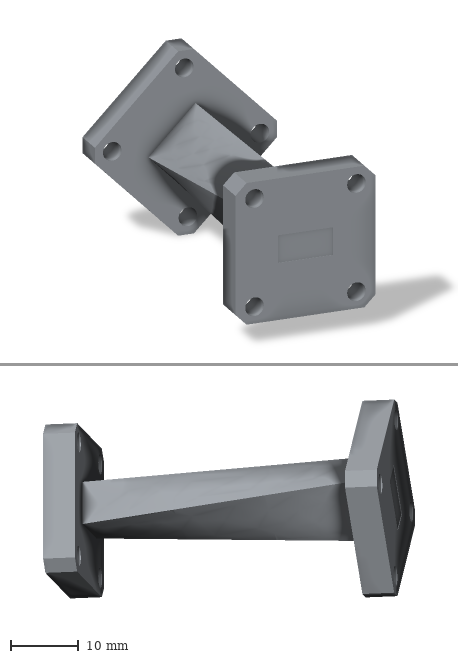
import cadquery as cq

length = 50.8
twist = 45.0

flange_side = 22.35
flange_thickness = 4.8
corner_chamfer = 1.8

hole_diameter = 2.95
hole_spacing_y = 16.25
hole_spacing_z = 17.05

tube_width = 10.6
tube_height = 6.35

window_width = 8.75
window_height = 4.35
window_depth = 0.1


def section_plane(x, angle):
    """Plane across the X axis, with its local axes turned by angle about X."""
    plane = cq.Plane.YZ(origin=(x, 0, 0))
    return plane.rotated((0, 0, angle))


def block(x, angle, width, height, depth):
    """Rectangular block centred on the X axis, starting at x."""
    return cq.Workplane(section_plane(x, angle)).rect(width, height).extrude(depth)


def flange(x, angle):
    """Square flange with chamfered corners and four through holes."""
    plate = block(x, 0, flange_side, flange_side, flange_thickness)
    plate = plate.edges("|X").chamfer(corner_chamfer)
    holes = (
        cq.Workplane(section_plane(x, 0))
        .rect(hole_spacing_y, hole_spacing_z, forConstruction=True)
        .vertices()
        .circle(hole_diameter / 2)
        .extrude(flange_thickness)
    )
    return plate.cut(holes).rotate((0, 0, 0), (1, 0, 0), angle)


def tube_section(x, angle):
    """Rectangular wire of the tube at x."""
    return cq.Workplane(section_plane(x, angle)).rect(tube_width, tube_height).val()


def twisted_tube():
    """Ruled tube whose straight corner edges join the inner flange faces."""
    start = tube_section(flange_thickness, twist)
    end = tube_section(length - flange_thickness, 0)
    return cq.Workplane(cq.Solid.makeLoft([start, end], True))


result = flange(0, twist).union(twisted_tube()).union(flange(length - flange_thickness, 0))
result = result.cut(block(0, twist, window_width, window_height, window_depth))
result = result.cut(block(length - window_depth, 0, window_width, window_height, window_depth))